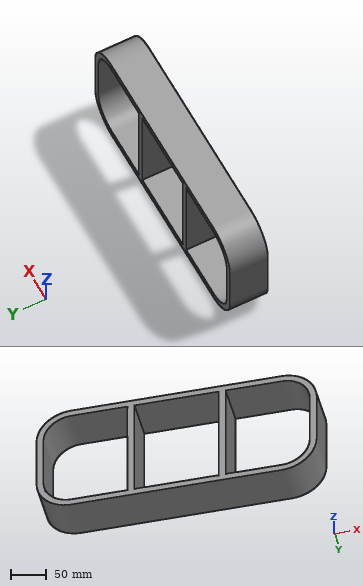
import cadquery as cq

length = 401.5
depth = 60.0
height = 179.5

wall = 10.0
corner_radius = 50.0
divider_count = 2

inner_length = length - 2 * wall
inner_height = height - 2 * wall
inner_radius = corner_radius - wall

opening_width = (inner_length - divider_count * wall) / (divider_count + 1)
divider_pitch = opening_width + wall


def rounded_block(x_size, z_size, radius):
    """Block centred on the origin, with its edges along Y rounded."""
    return cq.Workplane("XY").box(x_size, depth, z_size).edges("|Y").fillet(radius)


result = rounded_block(length, height, corner_radius).cut(
    rounded_block(inner_length, inner_height, inner_radius)
)

for index in range(divider_count):
    divider_x = (index - (divider_count - 1) / 2) * divider_pitch
    divider = cq.Workplane("XY").box(wall, depth, inner_height + wall)
    result = result.union(divider.translate((divider_x, 0, 0)))